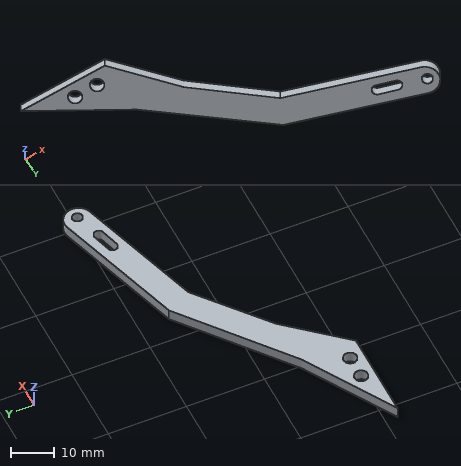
import cadquery as cq
import math

length = 87.6
depth = 46.4
thickness = 3.15

base_width = 23.05
foot_hole_diameter = 3.3
foot_hole_height = 3.5
foot_hole_positions = [12.7, 18.75]

lower_neck = (35.6, 14.6)
upper_neck = (23.05, 13.9)

arm_angle = 17.8
tip_radius = 3.6
lower_elbow_x = 53.0
upper_elbow_x = 49.8
tip_center = (length - tip_radius, depth - tip_radius)

tip_hole_diameter = 2.5
tip_hole_center = (84.7, 42.8)
slot_center = (75.5, 39.8)
slot_length = 7.3
slot_width = 2.45
slot_angle = 16.7


def tip_point(angle):
    """Point on the rounded tip at an angle in degrees from +X."""
    return (
        tip_center[0] + tip_radius * math.cos(math.radians(angle)),
        tip_center[1] + tip_radius * math.sin(math.radians(angle)),
    )


def elbow(x, tangent_point):
    """Point at x on the arm edge that passes through a tangent point."""
    slope = math.tan(math.radians(arm_angle))
    return (x, tangent_point[1] + slope * (x - tangent_point[0]))


def make_plate():
    lower_tangent = tip_point(arm_angle - 90)
    upper_tangent = tip_point(arm_angle + 90)
    return (
        cq.Workplane("XY")
        .moveTo(0, 0)
        .lineTo(base_width, 0)
        .lineTo(*lower_neck)
        .lineTo(*elbow(lower_elbow_x, lower_tangent))
        .lineTo(*lower_tangent)
        .threePointArc(tip_point(arm_angle), upper_tangent)
        .lineTo(*elbow(upper_elbow_x, upper_tangent))
        .lineTo(*upper_neck)
        .close()
        .extrude(thickness)
    )


def make_cutters():
    """Through-cutting bodies for the round holes and the slot."""
    foot_holes = (
        cq.Workplane("XY")
        .pushPoints([(x, foot_hole_height) for x in foot_hole_positions])
        .circle(foot_hole_diameter / 2)
        .extrude(thickness)
    )
    tip_hole = (
        cq.Workplane("XY")
        .center(*tip_hole_center)
        .circle(tip_hole_diameter / 2)
        .extrude(thickness)
    )
    slot = (
        cq.Workplane("XY")
        .center(*slot_center)
        .slot2D(slot_length, slot_width, slot_angle)
        .extrude(thickness)
    )
    return [foot_holes, tip_hole, slot]


result = make_plate()
for cutter in make_cutters():
    result = result.cut(cutter)